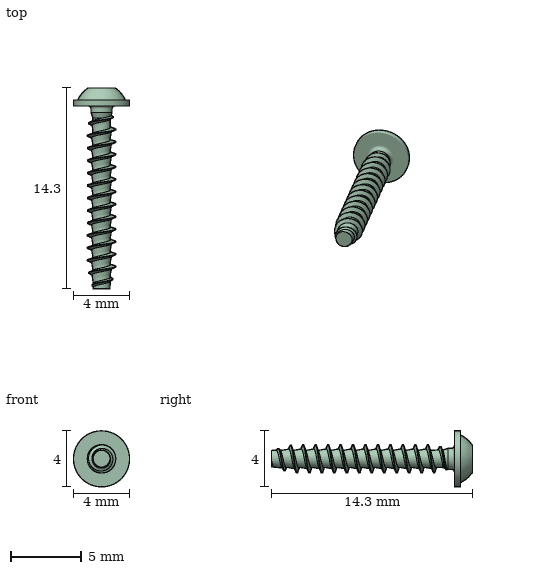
import cadquery as cq
import math

total_length = 14.3
head_height = 1.3
tip_y = head_height - total_length

flange_radius = 2.0
flange_thickness = 0.45
flange_edge_round = 0.03
dome_base_radius = 1.7
dome_mid_radius = 1.39
dome_mid_y = 0.93
dome_top_radius = 0.97

neck_radius = 0.76
neck_fillet = 0.2
neck_end_y = -0.46
core_start_y = -0.83
core_radius = 0.63
tip_radius = 0.59
tip_taper_length = 0.72

pitch = 0.89
thread_origin_y = -1.66
tip_turn = -12.5
head_turn = 1.25
tip_fade_turns = 1.4
head_fade_turns = 1.1
tip_crest_radius = 0.69
head_crest_radius = 0.79
crest_radius = 1.02
crest_half_width = 0.021
root_half_width = 0.15
root_radius = 0.72
taper_span = 0.73
flank_foot_radius = 0.6
buried_radius = 0.55
segment_turns = 0.5
points_per_segment = 8


def fade(start_radius, full_radius, progress):
    """Radius growing from start to full as progress goes from 0 to 1, then constant."""
    return start_radius + (full_radius - start_radius) * min(progress, 1.0)


def faded_radius(turn, full_radius, tip_start, head_start):
    """Radius at a turn, reduced in the run-out at either end of the thread."""
    from_tip = fade(tip_start, full_radius, (turn - tip_turn) / tip_fade_turns)
    from_head = fade(head_start, full_radius, (head_turn - turn) / head_fade_turns)
    return min(from_tip, from_head)


def helix_edges(offset, full_radius, tip_start, head_start):
    """Chain of half-turn helical edges at an axial offset from the crest line."""
    def point(turn):
        radius = faded_radius(turn, full_radius, tip_start, head_start)
        angle = 2 * math.pi * turn
        y = thread_origin_y + pitch * turn + offset
        return cq.Vector(radius * math.cos(angle), y, -radius * math.sin(angle))

    count = math.ceil((head_turn - tip_turn) / segment_turns)
    step = (head_turn - tip_turn) / count
    edges = []
    for segment in range(count):
        start = tip_turn + segment * step
        turns = [start + step * i / points_per_segment for i in range(points_per_segment + 1)]
        edges.append(cq.Edge.makeSpline([point(turn) for turn in turns], parameters=turns))
    return edges


def make_thread():
    """Solid ridge with its core taper, closed by ruled helical faces and two flat ends."""
    chains = [
        helix_edges(-taper_span, buried_radius, buried_radius, buried_radius),
        helix_edges(-taper_span, flank_foot_radius, flank_foot_radius, flank_foot_radius),
        helix_edges(-root_half_width, root_radius, flank_foot_radius, flank_foot_radius),
        helix_edges(-crest_half_width, crest_radius, tip_crest_radius, head_crest_radius),
        helix_edges(crest_half_width, crest_radius, tip_crest_radius, head_crest_radius),
        helix_edges(root_half_width, flank_foot_radius, flank_foot_radius, flank_foot_radius),
        helix_edges(root_half_width, buried_radius, buried_radius, buried_radius),
    ]
    following = chains[1:] + chains[:1]
    faces = [
        cq.Face.makeRuledSurface(edge, next_edge)
        for chain, next_chain in zip(chains, following)
        for edge, next_edge in zip(chain, next_chain)
    ]
    tip_corners = [chain[0].startPoint() for chain in chains]
    head_corners = [chain[-1].endPoint() for chain in chains]
    for corners in (tip_corners, head_corners):
        faces.append(cq.Face.makeFromWires(cq.Wire.makePolygon(corners, close=True)))
    thread = cq.Solid.makeSolid(cq.Shell.makeShell(faces)).fix()
    return cq.Workplane(thread)


def make_head():
    flange = cq.Workplane("XZ").circle(flange_radius).extrude(-flange_thickness)
    flange = flange.edges().fillet(flange_edge_round)
    dome = (
        cq.Workplane("XY")
        .lineTo(0, head_height)
        .lineTo(dome_top_radius, head_height)
        .threePointArc((dome_mid_radius, dome_mid_y), (dome_base_radius, flange_thickness))
        .lineTo(dome_base_radius, 0)
        .close()
        .revolve(360, (0, 0), (0, 1))
    )
    return flange.union(dome)


def make_shank():
    fillet_inset = neck_fillet * (1 - math.sqrt(0.5))
    return (
        cq.Workplane("XY")
        .moveTo(0, flange_thickness)
        .lineTo(neck_radius + neck_fillet, flange_thickness)
        .lineTo(neck_radius + neck_fillet, 0)
        .threePointArc((neck_radius + fillet_inset, -fillet_inset), (neck_radius, -neck_fillet))
        .lineTo(neck_radius, neck_end_y)
        .lineTo(core_radius, core_start_y)
        .lineTo(core_radius, tip_y + tip_taper_length)
        .lineTo(tip_radius, tip_y)
        .lineTo(0, tip_y)
        .close()
        .revolve(360, (0, 0), (0, 1))
    )


def below_tip():
    """Block beyond the tip plane, which trims the run-out of the thread."""
    size = 2 * flange_radius
    return cq.Workplane("XY").box(size, size, size).translate((0, tip_y - size / 2, 0))


thread = make_thread().cut(below_tip())
result = make_head().union(make_shank()).union(thread)